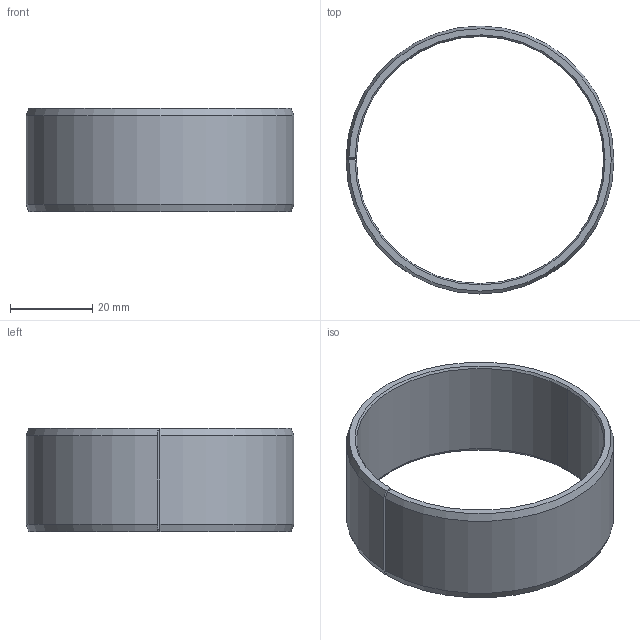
import cadquery as cq
import math

outer_diameter = 65.0
inner_diameter = 60.0
width = 25.0
outer_chamfer_length = 1.8
outer_chamfer_angle = 20.0
inner_chamfer_length = 0.6
inner_chamfer_angle = 30.0
slit_width = 0.5

outer_radius = outer_diameter / 2
inner_radius = inner_diameter / 2
half_width = width / 2
outer_chamfer_depth = outer_chamfer_length * math.tan(math.radians(outer_chamfer_angle))
inner_chamfer_depth = inner_chamfer_length * math.tan(math.radians(inner_chamfer_angle))


def chamfered_ring():
    """Full ring, revolved about Z from its chamfered wall section."""
    section = (
        cq.Workplane("XZ")
        .moveTo(inner_radius, -half_width + inner_chamfer_length)
        .lineTo(inner_radius + inner_chamfer_depth, -half_width)
        .lineTo(outer_radius - outer_chamfer_depth, -half_width)
        .lineTo(outer_radius, -half_width + outer_chamfer_length)
        .lineTo(outer_radius, half_width - outer_chamfer_length)
        .lineTo(outer_radius - outer_chamfer_depth, half_width)
        .lineTo(inner_radius + inner_chamfer_depth, half_width)
        .lineTo(inner_radius, half_width - inner_chamfer_length)
        .close()
    )
    return section.revolve(360, (0, 0, 0), (0, 1, 0))


def joint_slit():
    """Cutter through the -X wall; one joint face lies on the XZ plane, the other at +Y."""
    cutter = cq.Workplane("XY").box(outer_radius, slit_width, width, centered=(False, False, True))
    return cutter.translate((-outer_radius, 0, 0))


result = chamfered_ring().cut(joint_slit())